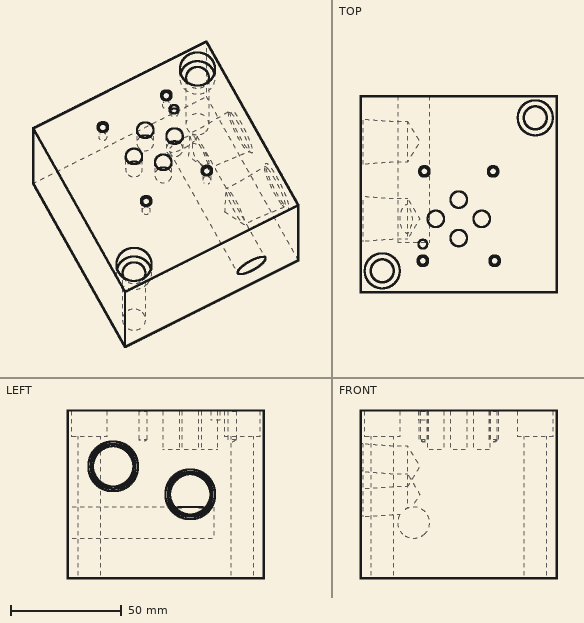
import cadquery as cq
import math

side = 88.9
height = 76.2

mount_offset = 34.7
mount_bore = 10.3
mount_counterbore = 15.9
mount_counterbore_depth = 12.0

valve_center_y = -11.1
flow_hole = 7.5
flow_hole_depth = 17.8
flow_offset_x = 10.4
flow_offset_y = 8.7

screw_drill = 3.65
screw_mouth = 4.8
screw_depth = 13.3
upper_screw_x = 15.6
upper_screw_y = 10.4
lower_screw_x = 16.3
lower_screw_y = -30.1

pin_hole = 4.0
pin_depth = 4.45
pin_above_screw = 7.6

port_mouth = 22.6
port_bore = 20.4
port_drill = 18.3
port_taper_depth = 16.0
port_depth = 21.3
p_port_y = valve_center_y
p_port_z = height / 2
t_port_y = 23.8
t_port_z = 50.8

gallery_bore = 14.3
gallery_roof_below_port = 5.7
gallery_overrun = 10.7
gallery_past_port = 2.7

drill_point_half_angle = math.radians(59)


def round_cavity(profile):
    """Solid of revolution about Z from (radius, depth) pairs, hanging below the origin."""
    points = [(radius, -depth) for radius, depth in profile]
    return (
        cq.Workplane("XZ")
        .moveTo(0, 0)
        .polyline(points, includeCurrent=True)
        .close()
        .revolve(360, (0, 0), (0, 1))
    )


def point_length(diameter):
    """Length of the conical drill point of a drilled hole."""
    return diameter / 2 / math.tan(drill_point_half_angle)


def screw_hole():
    """Drilled screw hole with a 45 degree countersunk mouth."""
    countersink = (screw_mouth - screw_drill) / 2
    return round_cavity([
        (screw_mouth / 2, 0),
        (screw_drill / 2, countersink),
        (screw_drill / 2, screw_depth),
        (0, screw_depth + point_length(screw_drill)),
    ])


def port():
    """Port entering the -X face: chamfered mouth, tapered bore, drilled end."""
    chamfer = (port_mouth - port_bore) / 2
    cavity = round_cavity([
        (port_mouth / 2, 0),
        (port_bore / 2, chamfer),
        (port_drill / 2, port_taper_depth),
        (port_drill / 2, port_depth),
        (0, port_depth + point_length(port_drill)),
    ])
    return cavity.rotate((0, 0, 0), (0, 1, 0), -90).translate((-side / 2, 0, 0))


def gallery():
    """Flat-ended gallery, with its roof breaking into the end of the P port."""
    axis_x = port_depth + gallery_past_port - side / 2
    axis_z = p_port_z - gallery_roof_below_port - gallery_bore / 2
    length = side / 2 - p_port_y + gallery_overrun
    return (
        cq.Workplane("XZ", origin=(axis_x, side / 2, axis_z))
        .circle(gallery_bore / 2)
        .extrude(length)
    )


block = cq.Workplane("XY").box(side, side, height, centered=(True, True, False))

block = (
    block.faces(">Z").workplane(origin=(0, 0, height))
    .pushPoints([(mount_offset, mount_offset), (-mount_offset, -mount_offset)])
    .cboreHole(mount_bore, mount_counterbore, mount_counterbore_depth)
)

flow_points = [
    (-flow_offset_x, valve_center_y),
    (flow_offset_x, valve_center_y),
    (0, valve_center_y - flow_offset_y),
    (0, valve_center_y + flow_offset_y),
]
top = cq.Workplane("XY", origin=(0, 0, height))
block = block.cut(top.pushPoints(flow_points).circle(flow_hole / 2).extrude(-flow_hole_depth))

pin_point = (-lower_screw_x, lower_screw_y + pin_above_screw)
block = block.cut(top.pushPoints([pin_point]).circle(pin_hole / 2).extrude(-pin_depth))

for row_x, row_y in [(upper_screw_x, upper_screw_y), (lower_screw_x, lower_screw_y)]:
    for x in (-row_x, row_x):
        block = block.cut(screw_hole().translate((x, row_y, height)))

for y, z in [(p_port_y, p_port_z), (t_port_y, t_port_z)]:
    block = block.cut(port().translate((0, y, z)))

result = block.cut(gallery())